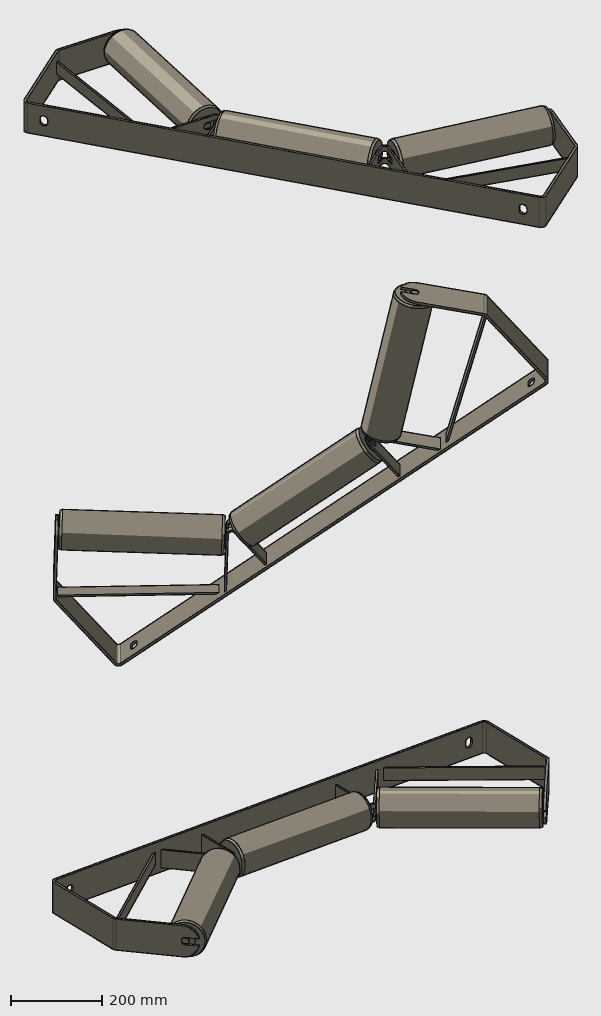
import cadquery as cq
import math

frame_length = 1210.0
bar_height = 77.0
bar_thickness = 6.0
bend_radius = 12.0
side_wall_height = 227.0
end_plate_length = 190.0
mount_hole_spacing = 1111.0
mount_hole_width = 18.0
mount_hole_height = 25.0

trough_angle = 40.0
forward_tilt = 1.0
roller_diameter = 90.0
roller_length = 363.0
rim_chamfer_length = 6.0
rim_chamfer_depth = 2.0
hub_diameter = 41.0
hub_length = 1.8
spindle_diameter = 17.0
spindle_flats = 13.0
spindle_overhang = 7.0
spindle_slot_width = 18.0
middle_roller_y = 99.0
middle_roller_z = -5.5
side_roller_x = 357.0
side_roller_y = 227.0
side_roller_z = -2.0

brace_height = 31.0
brace_thickness = 5.0
brace_top_y = 220.0
brace_foot_x = 317.0

bracket_thickness = 5.0
bracket_height = 45.0
bracket_leg_x = 184.0
bracket_foot_x = 299.0
bracket_bend_radius = 12.0

trough = math.radians(trough_angle)
tilt = math.radians(forward_tilt)
base_top = bar_thickness
side_reach = roller_length / 2 + spindle_overhang
cutter_depth = 2 * bar_thickness
upward = cq.Vector(0, 1)


def plate_direction(side):
    """Direction of an end plate or sloping leg toward +Y, square to the side roller."""
    return cq.Vector(-side * math.sin(trough), math.cos(trough))


def plate_plane(origin, along):
    """Plane of an upright plate, with local x running along it in XY."""
    return cq.Plane(origin=origin.toTuple(), xDir=along.toTuple(), normal=(along.y, -along.x, 0))


def side_spindle_end(side, outward):
    """Centre of a side spindle's end: outward is 1 at the frame, -1 at the bracket."""
    run = outward * side_reach * math.cos(tilt)
    return cq.Vector(
        side * (side_roller_x + run * math.cos(trough)),
        side_roller_y + run * math.sin(trough),
        side_roller_z + outward * side_reach * math.sin(tilt),
    )


def strip(centre_line, thickness, height, outer_radius):
    """A flat bar standing on a centre line in XY, with rounded bends."""
    points = [cq.Vector(*point) for point in centre_line]
    directions = [(end - start).normalized() for start, end in zip(points, points[1:])]
    left_side = []
    right_side = []
    for index, point in enumerate(points):
        before = directions[max(index - 1, 0)]
        after = directions[min(index, len(directions) - 1)]
        middle = (before + after).normalized()
        offset = cq.Vector(-middle.y, middle.x) * (thickness / 2 / middle.dot(after))
        left_side.append(point + offset)
        right_side.append(point - offset)
    outline = [(point.x, point.y) for point in left_side + right_side[::-1]]
    bar = cq.Workplane().polyline(outline).close().extrude(height / 2, both=True)
    for index in range(1, len(points) - 1):
        inside, outside = left_side[index], right_side[index]
        if directions[index - 1].cross(directions[index]).z < 0:
            inside, outside = outside, inside
        outer_edge = cq.selectors.NearestToPointSelector(outside.toTuple())
        bar = bar.edges(outer_edge).fillet(outer_radius)
        inner_edge = cq.selectors.NearestToPointSelector(inside.toTuple())
        bar = bar.edges(inner_edge).fillet(outer_radius - thickness)
    return bar


def spindle_slot(seat, along):
    """Cutter for a slot with a round bottom at the seat, open in the direction along."""
    plane = plate_plane(seat, along)
    length = 2 * roller_diameter
    channel = cq.Workplane(plane).center(length / 2, 0).rect(length, spindle_slot_width)
    bottom = cq.Workplane(plane).circle(spindle_slot_width / 2)
    return channel.extrude(cutter_depth, both=True).union(bottom.extrude(cutter_depth, both=True))


def tip_rounding(tip, along):
    """Cutter that leaves the tip of an end plate fully rounded."""
    radius = bar_height / 2
    plane = plate_plane(tip - along * radius, along)
    block = cq.Workplane(plane).center(radius, 0).rect(2 * radius, 2 * bar_height)
    disc = cq.Workplane(plane).circle(radius)
    return block.extrude(cutter_depth, both=True).cut(disc.extrude(cutter_depth, both=True))


def make_frame():
    wall_x = frame_length / 2 - bar_thickness / 2
    corner_y = side_wall_height - bar_thickness / 2 * math.tan(trough / 2)
    tip = cq.Vector(wall_x, corner_y) + plate_direction(1) * end_plate_length
    right_half = [(wall_x, bar_thickness / 2), (wall_x, corner_y), (tip.x, tip.y)]
    left_half = [(-x, y) for x, y in reversed(right_half)]
    frame = strip(left_half + right_half, bar_thickness, bar_height, bend_radius)
    for side in (-1, 1):
        along = plate_direction(side)
        frame = frame.cut(tip_rounding(cq.Vector(side * tip.x, tip.y), along))
        frame = frame.cut(spindle_slot(side_spindle_end(side, 1), along))
    mount_holes = (
        cq.Workplane("XZ")
        .pushPoints([(-mount_hole_spacing / 2, 0), (mount_hole_spacing / 2, 0)])
        .slot2D(mount_hole_height, mount_hole_width, 90)
        .extrude(-bar_thickness)
    )
    return frame.cut(mount_holes)


def make_brace(side):
    wall_x = frame_length / 2 - bar_thickness
    slope = math.atan2(brace_top_y - base_top, wall_x - brace_foot_x)
    outline = [
        (side * wall_x, brace_top_y),
        (side * brace_foot_x, base_top),
        (side * (brace_foot_x + brace_thickness / math.sin(slope)), base_top),
        (side * wall_x, brace_top_y - brace_thickness / math.cos(slope)),
    ]
    return cq.Workplane().polyline(outline).close().extrude(brace_height / 2, both=True)


def make_bracket(side):
    leg_x = bracket_leg_x + bracket_thickness / 2
    peak_y = base_top + (bracket_foot_x - leg_x) / math.tan(trough)
    buried_foot_x = bracket_foot_x + base_top * math.tan(trough)
    centre_line = [(side * leg_x, 0), (side * leg_x, peak_y), (side * buried_foot_x, 0)]
    bracket = strip(centre_line, bracket_thickness, bracket_height, bracket_bend_radius)
    bracket = bracket.translate((0, 0, middle_roller_z))
    base = cq.Workplane().box(frame_length, 2 * base_top, 2 * bar_height)
    bracket = bracket.cut(base)
    bracket = bracket.cut(spindle_slot(side_spindle_end(side, -1), plate_direction(side)))
    upright_seat = cq.Vector(side * leg_x, middle_roller_y, middle_roller_z)
    return bracket.cut(spindle_slot(upright_seat, upward))


def cylinder_along_x(diameter, length):
    return cq.Workplane("YZ", origin=(-length / 2, 0, 0)).circle(diameter / 2).extrude(length)


def make_roller():
    """A roller along X, centred on the origin, with hubs and a flatted spindle."""
    barrel = cylinder_along_x(roller_diameter, roller_length)
    barrel = barrel.faces("<X or >X").chamfer(rim_chamfer_length, rim_chamfer_depth)
    hubs = cylinder_along_x(hub_diameter, roller_length + 2 * hub_length)
    spindle_length = 2 * side_reach
    flats = cq.Workplane().box(spindle_length, spindle_diameter, spindle_flats)
    spindle = cylinder_along_x(spindle_diameter, spindle_length).intersect(flats)
    return barrel.union(hubs).union(spindle)


def make_middle_roller():
    return make_roller().translate((0, middle_roller_y, middle_roller_z))


def make_side_roller(side):
    roller = make_roller()
    roller = roller.rotate((0, 0, 0), (0, 1, 0), -side * forward_tilt)
    roller = roller.rotate((0, 0, 0), (0, 0, 1), side * trough_angle)
    return roller.translate((side * side_roller_x, side_roller_y, side_roller_z))


frame = make_frame()
middle_roller = make_middle_roller()
side_rollers = [make_side_roller(side) for side in (-1, 1)]
braces = [make_brace(side) for side in (-1, 1)]
brackets = [make_bracket(side) for side in (-1, 1)]

bodies = [frame, middle_roller, *side_rollers, *braces, *brackets]
result = cq.Compound.makeCompound([body.solids().val() for body in bodies])